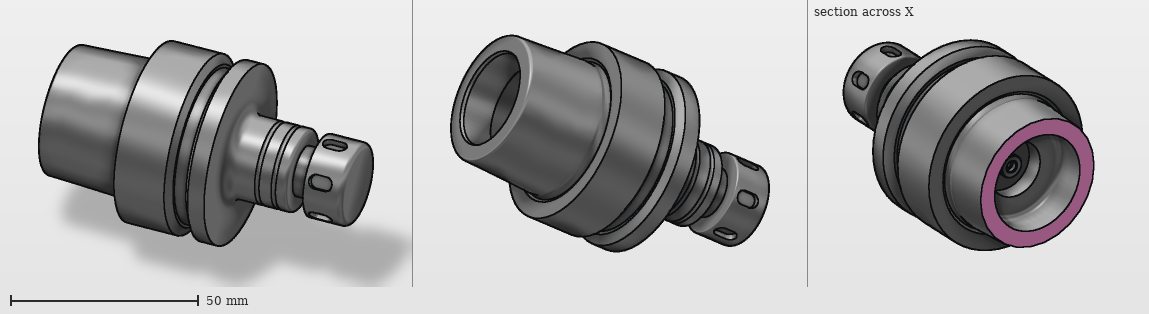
import cadquery as cq


shank_length = 25.0
taper_tip_radius = 18.0
taper_base_radius = 19.1
taper_end = 22.95
tip_round = 0.9

relief_radius = 18.95
relief_start = 23.7
relief_width = 0.25
root_start = 24.65
root_radius = 19.1
recess_outer_radius = 20.4
recess_inner_radius = 19.55
recess_depth = 0.5

flange_radius = 25.0
flange_end = 51.0
groove_radius = 21.5
groove_center = 42.8
groove_floor_width = 3.7
groove_side_run = 1.5
groove_side_drop = 2.55

body_diameter = 23.0
body_radius = body_diameter / 2
body_end = 69.0
body_root_fillet = 3.0
body_round = 0.9
ring_groove_starts = (59.9, 64.7)
ring_groove_width = 1.3
ring_groove_depth = 0.3
neck_diameter = 14.0
neck_radius = neck_diameter / 2

nut_start = 73.7
total_length = 85.0
nut_rear_round = 0.5
nut_front_round = 1.5
slot_count = 6
slot_length = 6.6
slot_width = 3.9
slot_center = 78.3
slot_floor_radius = 9.7

bore_radius = 13.0
bore_chamfer_length = 1.0
bore_chamfer_width = 0.3
undercut_radius = 14.45
undercut_start = 9.95
undercut_shoulder_length = 0.85
undercut_corner_round = 1.7
bore_depth = 20.5
pocket_radius = 8.0
pocket_depth = 5.1

pin_radius = 3.2
pin_height = 3.4
pin_chamfer = 0.2
pin_hole_diameter = 3.0
pin_hole_radius = pin_hole_diameter / 2
pin_hole_chamfer = 0.25
pin_hole_depth = 1.7
center_point_radius = 0.85


def revolve_about_x(outline):
    return outline.close().revolve(360, (0, 0, 0), (1, 0, 0))


def make_shank_and_flange():
    """Solid taper shank, with the flange and its V-sided groove behind it."""
    groove_left = groove_center - groove_floor_width / 2
    groove_right = groove_center + groove_floor_width / 2
    wall_radius = flange_radius - groove_side_drop
    return revolve_about_x(
        cq.Workplane("XY")
        .lineTo(0, taper_tip_radius - tip_round)
        .radiusArc((tip_round, taper_tip_radius), tip_round)
        .lineTo(taper_end, taper_base_radius)
        .lineTo(relief_start, relief_radius)
        .lineTo(relief_start + relief_width, relief_radius)
        .lineTo(root_start, root_radius)
        .lineTo(shank_length + recess_depth, recess_inner_radius)
        .lineTo(shank_length, recess_outer_radius)
        .lineTo(shank_length, flange_radius)
        .lineTo(groove_left - groove_side_run, flange_radius)
        .lineTo(groove_left, wall_radius)
        .lineTo(groove_left, groove_radius)
        .lineTo(groove_right, groove_radius)
        .lineTo(groove_right, wall_radius)
        .lineTo(groove_right + groove_side_run, flange_radius)
        .lineTo(flange_end, flange_radius)
        .lineTo(flange_end, 0)
    )


def make_body():
    """Body with two shallow ring grooves, and the neck behind it."""
    outline = (
        cq.Workplane("XY")
        .moveTo(flange_end, 0)
        .lineTo(flange_end, body_radius + body_root_fillet)
        .radiusArc((flange_end + body_root_fillet, body_radius), -body_root_fillet)
    )
    for start in ring_groove_starts:
        outline = (
            outline.lineTo(start, body_radius)
            .sagittaArc((start + ring_groove_width, body_radius), -ring_groove_depth)
        )
    return revolve_about_x(
        outline.lineTo(body_end - body_round, body_radius)
        .radiusArc((body_end, body_radius - body_round), body_round)
        .lineTo(body_end, neck_radius)
        .lineTo(nut_start, neck_radius)
        .lineTo(nut_start, 0)
    )


def make_nut():
    """Round nut with flat-floored slots around its rim."""
    nut = revolve_about_x(
        cq.Workplane("XY")
        .moveTo(nut_start, 0)
        .lineTo(nut_start, body_radius - nut_rear_round)
        .radiusArc((nut_start + nut_rear_round, body_radius), nut_rear_round)
        .lineTo(total_length - nut_front_round, body_radius)
        .radiusArc((total_length, body_radius - nut_front_round), nut_front_round)
        .lineTo(total_length, 0)
    )
    slot = (
        cq.Workplane("XY", origin=(slot_center, 0, slot_floor_radius))
        .slot2D(slot_length, slot_width)
        .extrude(body_radius)
    )
    for index in range(slot_count):
        nut = nut.cut(slot.rotate((0, 0, 0), (1, 0, 0), index * 360 / slot_count))
    return nut


def make_bore():
    """Chamfered bore, undercut chamber and the pocket in its floor."""
    return revolve_about_x(
        cq.Workplane("XY")
        .lineTo(0, bore_radius + bore_chamfer_width)
        .lineTo(bore_chamfer_length, bore_radius)
        .lineTo(undercut_start, bore_radius)
        .lineTo(undercut_start + undercut_shoulder_length, undercut_radius)
        .lineTo(bore_depth - undercut_corner_round, undercut_radius)
        .radiusArc((bore_depth, undercut_radius - undercut_corner_round), undercut_corner_round)
        .lineTo(bore_depth, pocket_radius)
        .lineTo(bore_depth + pocket_depth, pocket_radius)
        .lineTo(bore_depth + pocket_depth, 0)
    )


def make_pin():
    """Chamfered pin with a center hole in its tip."""
    base = bore_depth + pocket_depth
    tip = base - pin_height
    hole_floor = tip + pin_hole_depth
    return revolve_about_x(
        cq.Workplane("XY")
        .moveTo(base, 0)
        .lineTo(base, pin_radius)
        .lineTo(tip + pin_chamfer, pin_radius)
        .lineTo(tip, pin_radius - pin_chamfer)
        .lineTo(tip, pin_hole_radius + pin_hole_chamfer)
        .lineTo(tip + pin_hole_chamfer, pin_hole_radius)
        .lineTo(hole_floor, pin_hole_radius)
        .lineTo(hole_floor, center_point_radius)
        .lineTo(hole_floor + center_point_radius, 0)
    )


result = (
    make_shank_and_flange()
    .union(make_body())
    .union(make_nut())
    .cut(make_bore())
    .union(make_pin())
)